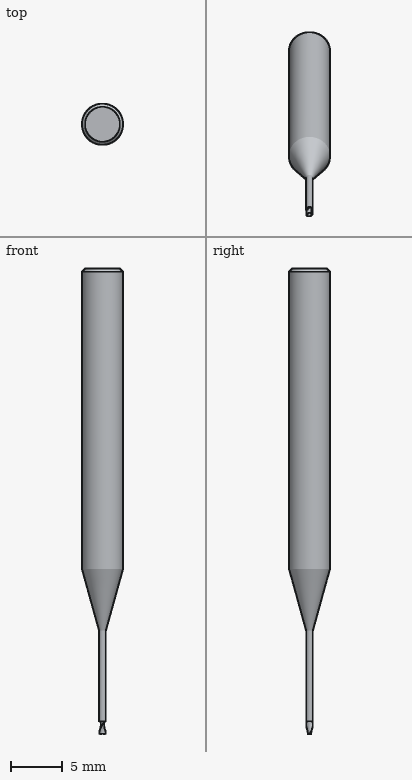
import cadquery as cq
import math

TOTAL_LENGTH = 45.0
SHANK_RADIUS = 2.002
SHANK_CHAMFER = 0.3

HEAD_HEIGHT = 1.2
NECK_TOP = 10.0
TAPER_TOP = 15.98

NECK_RADIUS = 0.338

HEAD_RADIUS = 0.338
WEB_THICKNESS = 0.35
FLUTE_TWIST = 120.0
CORNER_RADIUS = 0.15
DISH_DEPTH = 0.2


def make_shank():
    """Chamfered shank, conical taper and slender neck, turned in one piece."""
    half_profile = (
        cq.Workplane("XZ")
        .moveTo(0, HEAD_HEIGHT)
        .lineTo(NECK_RADIUS, HEAD_HEIGHT)
        .lineTo(NECK_RADIUS, NECK_TOP)
        .lineTo(SHANK_RADIUS, TAPER_TOP)
        .lineTo(SHANK_RADIUS, TOTAL_LENGTH - SHANK_CHAMFER)
        .lineTo(SHANK_RADIUS - SHANK_CHAMFER, TOTAL_LENGTH)
        .lineTo(0, TOTAL_LENGTH)
        .close()
    )
    return half_profile.revolve(360, (0, 0, 0), (0, 1, 0))


def make_twisted_web():
    """Lens-shaped web with two sharp cutting edges, twisted along the tool axis."""
    half_web = WEB_THICKNESS / 2
    return (
        cq.Workplane("XY")
        .moveTo(-HEAD_RADIUS, 0)
        .threePointArc((0, -half_web), (HEAD_RADIUS, 0))
        .threePointArc((0, half_web), (-HEAD_RADIUS, 0))
        .close()
        .twistExtrude(HEAD_HEIGHT, FLUTE_TWIST)
    )


def make_head_envelope():
    """Turned limit of the head: rounded corner and dished end face."""
    outer_radius = HEAD_RADIUS + CORNER_RADIUS
    corner_start = HEAD_RADIUS - CORNER_RADIUS
    arc_offset = CORNER_RADIUS * math.sqrt(0.5)
    half_profile = (
        cq.Workplane("XZ")
        .moveTo(0, DISH_DEPTH)
        .lineTo(corner_start, 0)
        .threePointArc(
            (corner_start + arc_offset, CORNER_RADIUS - arc_offset),
            (HEAD_RADIUS, CORNER_RADIUS),
        )
        .lineTo(outer_radius, CORNER_RADIUS)
        .lineTo(outer_radius, HEAD_HEIGHT)
        .lineTo(0, HEAD_HEIGHT)
        .close()
    )
    return half_profile.revolve(360, (0, 0, 0), (0, 1, 0))


shank = make_shank()
cutting_head = make_twisted_web().intersect(make_head_envelope())

result = cq.Compound.makeCompound([shank.val(), *cutting_head.solids().vals()])